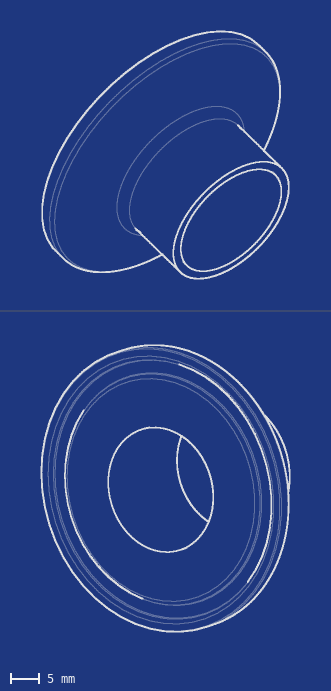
import cadquery as cq
import math

length = 21.5
flange_radius = 50.5 / 2
tube_radius = 25.4 / 2
bore_radius = 22.1 / 2

rim_width = 2.85
cone_angle = 20.0
face_edge_radius = 0.2
rim_edge_radius = 0.8
neck_radius = 2.0

groove_mean_radius = 43.5 / 2
groove_half_width = 2.0
groove_bottom_radius = 1.2
groove_lip_radius = 0.8
groove_wall_angle = 70.0


def make_body():
    """Revolve the solid outline (along X, radius along Y) and round its edges."""
    cone_end = rim_width + (flange_radius - tube_radius) * math.tan(math.radians(cone_angle))
    body = (
        cq.Workplane("XY")
        .polyline([
            (0, 0),
            (0, flange_radius),
            (rim_width, flange_radius),
            (cone_end, tube_radius),
            (length, tube_radius),
            (length, 0),
        ])
        .close()
        .revolve(360, (0, 0, 0), (1, 0, 0))
    )
    for x, rounding in [(0, face_edge_radius), (rim_width, rim_edge_radius), (cone_end, neck_radius)]:
        body = body.edges(cq.NearestToPointSelector((x, 0, 0))).fillet(rounding)
    return body


def make_groove():
    """Revolve the groove section: lip, wall, bottom, wall and lip, all meeting tangentially."""
    turn = math.radians(groove_wall_angle)
    half_turn = turn / 2

    lip_mid_depth = groove_lip_radius * (1 - math.cos(half_turn))
    lip_mid_offset = groove_half_width - groove_lip_radius * math.sin(half_turn)
    lip_end_depth = groove_lip_radius * (1 - math.cos(turn))
    lip_end_offset = groove_half_width - groove_lip_radius * math.sin(turn)

    wall_end_offset = groove_bottom_radius * math.sin(turn)
    wall_end_depth = lip_end_depth + (lip_end_offset - wall_end_offset) * math.tan(turn)
    groove_depth = wall_end_depth + groove_bottom_radius * (1 - math.cos(turn))

    def place(depth, offset):
        return (depth, groove_mean_radius + offset)

    return (
        cq.Workplane("XY")
        .moveTo(*place(0, -groove_half_width))
        .threePointArc(place(lip_mid_depth, -lip_mid_offset), place(lip_end_depth, -lip_end_offset))
        .lineTo(*place(wall_end_depth, -wall_end_offset))
        .threePointArc(place(groove_depth, 0), place(wall_end_depth, wall_end_offset))
        .lineTo(*place(lip_end_depth, lip_end_offset))
        .threePointArc(place(lip_mid_depth, lip_mid_offset), place(0, groove_half_width))
        .close()
        .revolve(360, (0, 0, 0), (1, 0, 0))
    )


def make_bore():
    """Through bore along X."""
    return cq.Workplane("YZ").circle(bore_radius).extrude(length)


result = make_body().cut(make_groove()).cut(make_bore())